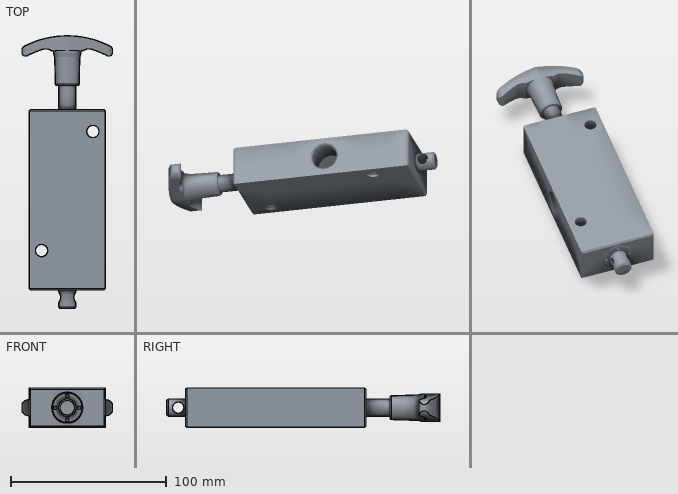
import cadquery as cq
import math


HOUSING_WIDTH = 49.0
HOUSING_LENGTH = 116.0
HOUSING_HEIGHT = 25.5
HOUSING_CHAMFER = 1.0

MOUNT_HOLE_DIAMETER = 7.7
MOUNT_HOLE_OFFSET = 16.5
FRONT_MOUNT_HOLE_Y = 25.5
MOUNT_HOLE_SPACING = 76.5

SIDE_BORE_DIAMETER = 16.3
SIDE_BORE_DEPTH = 17.5
SIDE_BORE_CHAMFER = 1.0
SIDE_BORE_Y = 55.7

RING_RADIUS = 10.0
RING_GROOVE = 0.5
SPANNER_HOLE_COUNT = 4
SPANNER_HOLE_CIRCLE_RADIUS = 7.7
SPANNER_HOLE_RADIUS = 1.2
SPANNER_HOLE_DEPTH = 2.1
DRILL_TIP_ANGLE = 118.0

TOTAL_LENGTH = 175.3
ROD_RADIUS = 5.6
TIP_PROTRUSION = 12.0
TIP_CHAMFER = 1.0
CROSS_HOLE_DIAMETER = 7.2
CROSS_HOLE_Y = -4.5
HANDLE_TOP_Y = TOTAL_LENGTH - TIP_PROTRUSION

HUB_RADIUS = 9.0
HUB_FLARE_DEPTH = 10.9
SLEEVE_TOP_DEPTH = 13.8
SLEEVE_TOP_RADIUS = 8.2
SLEEVE_BOTTOM_DEPTH = 32.0
SLEEVE_BOTTOM_RADIUS = 7.7
RIM_CHAMFER_WIDTH = 0.5
RIM_CHAMFER_LENGTH = 1.0

HANDLE_SPAN = 58.4
CROWN_RADIUS = 59.6
ARM_END_RADIUS = 5.3
ARM_END_X = 24.4
ARM_CENTRE_DEPTH = 9.3
HOLLOW_INNER_X = 10.0
HOLLOW_INNER_DEPTH = 9.8
HOLLOW_CREST_X = 13.1
HOLLOW_CREST_DEPTH = 8.6
HOLLOW_OUTER_X = 16.1
HOLLOW_OUTER_DEPTH = 9.0
UNDERSIDE_MIDDLE_X = 22.0
UNDERSIDE_MIDDLE_DEPTH = 11.2
ARM_CORNER_DEPTH = 14.9
ARM_UPPER_FILLET = 3.0
ARM_LOWER_FILLET = 2.5


def y_axis_revolve(profile):
    """Revolve a closed list of (y, radius) points about the Y axis."""
    return cq.Workplane("YZ").polyline(profile).close().revolve(360, (0, 0), (1, 0))


def housing_block():
    block = cq.Workplane("XY").box(HOUSING_WIDTH, HOUSING_LENGTH, HOUSING_HEIGHT)
    block = block.translate((0, HOUSING_LENGTH / 2, 0))
    return block.faces("<Y or >Y").chamfer(HOUSING_CHAMFER)


def mount_holes():
    centres = [
        (-MOUNT_HOLE_OFFSET, FRONT_MOUNT_HOLE_Y),
        (MOUNT_HOLE_OFFSET, FRONT_MOUNT_HOLE_Y + MOUNT_HOLE_SPACING),
    ]
    drills = cq.Workplane("XY").pushPoints(centres).circle(MOUNT_HOLE_DIAMETER / 2)
    return drills.extrude(HOUSING_HEIGHT, both=True)


def side_bore():
    """Blind bore in the -X side with a chamfered mouth."""
    side_x = -HOUSING_WIDTH / 2
    radius = SIDE_BORE_DIAMETER / 2
    profile = [
        (side_x, 0),
        (side_x, radius + SIDE_BORE_CHAMFER),
        (side_x + SIDE_BORE_CHAMFER, radius),
        (side_x + SIDE_BORE_DEPTH, radius),
        (side_x + SIDE_BORE_DEPTH, 0),
    ]
    bore = cq.Workplane("XZ").polyline(profile).close().revolve(360, (0, 0), (1, 0))
    return bore.translate((0, SIDE_BORE_Y, 0))


def ring_groove():
    """V-groove in the front face whose inner flank slopes away from the ring."""
    return y_axis_revolve([
        (0, RING_RADIUS - RING_GROOVE),
        (0, RING_RADIUS),
        (RING_GROOVE, RING_RADIUS),
    ])


def spanner_holes():
    """Drilled blind holes spaced evenly around the plunger in the front face."""
    tip_depth = SPANNER_HOLE_RADIUS / math.tan(math.radians(DRILL_TIP_ANGLE / 2))
    drill = y_axis_revolve([
        (0, 0),
        (0, SPANNER_HOLE_RADIUS),
        (SPANNER_HOLE_DEPTH, SPANNER_HOLE_RADIUS),
        (SPANNER_HOLE_DEPTH + tip_depth, 0),
    ]).translate((0, 0, SPANNER_HOLE_CIRCLE_RADIUS))
    holes = cq.Workplane("XY")
    for index in range(SPANNER_HOLE_COUNT):
        angle = index * 360 / SPANNER_HOLE_COUNT
        holes = holes.add(drill.rotate((0, 0, 0), (0, 1, 0), angle))
    return holes.combine()


def plunger_bore():
    return y_axis_revolve([
        (0, 0),
        (0, ROD_RADIUS),
        (HOUSING_LENGTH, ROD_RADIUS),
        (HOUSING_LENGTH, 0),
    ])


def make_housing():
    housing = housing_block().cut(plunger_bore()).cut(mount_holes()).cut(side_bore())
    return housing.cut(ring_groove()).cut(spanner_holes())


def rod():
    """Rod with a chamfered tip, reaching up into the handle."""
    tip_y = -TIP_PROTRUSION
    end_y = HANDLE_TOP_Y - SLEEVE_TOP_DEPTH
    bar = y_axis_revolve([
        (tip_y, 0),
        (tip_y, ROD_RADIUS - TIP_CHAMFER),
        (tip_y + TIP_CHAMFER, ROD_RADIUS),
        (end_y, ROD_RADIUS),
        (end_y, 0),
    ])
    cross_hole = cq.Workplane("YZ").center(CROSS_HOLE_Y, 0).circle(CROSS_HOLE_DIAMETER / 2)
    return bar.cut(cross_hole.extrude(2 * ROD_RADIUS, both=True))


def handle_hub():
    """Hub that flares in to a tapered sleeve with a chamfered lower rim."""
    bottom_y = HANDLE_TOP_Y - SLEEVE_BOTTOM_DEPTH
    sleeve_y = HANDLE_TOP_Y - SLEEVE_TOP_DEPTH
    flare_y = HANDLE_TOP_Y - HUB_FLARE_DEPTH
    arm_y = HANDLE_TOP_Y - ARM_CENTRE_DEPTH
    return y_axis_revolve([
        (bottom_y, 0),
        (bottom_y, SLEEVE_BOTTOM_RADIUS - RIM_CHAMFER_WIDTH),
        (bottom_y + RIM_CHAMFER_LENGTH, SLEEVE_BOTTOM_RADIUS),
        (sleeve_y, SLEEVE_TOP_RADIUS),
        (flare_y, HUB_RADIUS),
        (arm_y, HUB_RADIUS),
        (arm_y, 0),
    ])


def crossbar_side():
    """Profile along Z: a crowned top, a hollow under each arm and rounded ends."""
    end_x = HANDLE_SPAN / 2
    end_depth = CROWN_RADIUS - math.sqrt(CROWN_RADIUS**2 - end_x**2)

    def at(x, depth):
        return (x, HANDLE_TOP_Y - depth)

    half = (
        cq.Workplane("XY")
        .moveTo(*at(0, 0))
        .lineTo(*at(0, ARM_CENTRE_DEPTH))
        .lineTo(*at(HOLLOW_INNER_X, HOLLOW_INNER_DEPTH))
        .threePointArc(at(HOLLOW_CREST_X, HOLLOW_CREST_DEPTH), at(HOLLOW_OUTER_X, HOLLOW_OUTER_DEPTH))
        .threePointArc(at(UNDERSIDE_MIDDLE_X, UNDERSIDE_MIDDLE_DEPTH), at(end_x, ARM_CORNER_DEPTH))
        .lineTo(*at(end_x, end_depth))
        .radiusArc(at(0, 0), -CROWN_RADIUS)
        .close()
        .extrude(HUB_RADIUS, both=True)
    )
    half = half.faces(">X").edges(">Y").fillet(ARM_UPPER_FILLET)
    half = half.faces(">X").edges("<Y").fillet(ARM_LOWER_FILLET)
    return half.union(half.mirror("YZ"))


def crossbar_plan():
    """Outline along Y: tangent lines from the hub circle to the smaller arm end circles."""
    sine = (HUB_RADIUS - ARM_END_RADIUS) / ARM_END_X
    cosine = math.sqrt(1 - sine**2)
    hub_x = HUB_RADIUS * sine
    hub_z = HUB_RADIUS * cosine
    end_x = ARM_END_X + ARM_END_RADIUS * sine
    end_z = ARM_END_RADIUS * cosine
    plan = (
        cq.Workplane("XZ")
        .moveTo(-hub_x, hub_z)
        .threePointArc((0, HUB_RADIUS), (hub_x, hub_z))
        .lineTo(end_x, end_z)
        .threePointArc((ARM_END_X + ARM_END_RADIUS, 0), (end_x, -end_z))
        .lineTo(hub_x, -hub_z)
        .threePointArc((0, -HUB_RADIUS), (-hub_x, -hub_z))
        .lineTo(-end_x, -end_z)
        .threePointArc((-ARM_END_X - ARM_END_RADIUS, 0), (-end_x, end_z))
        .close()
    )
    return plan.extrude(-TOTAL_LENGTH)


def make_plunger():
    crossbar = crossbar_side().intersect(crossbar_plan())
    return rod().union(handle_hub()).union(crossbar)


housing = make_housing()
plunger = make_plunger()

result = cq.Compound.makeCompound([housing.solids().val(), plunger.solids().val()])